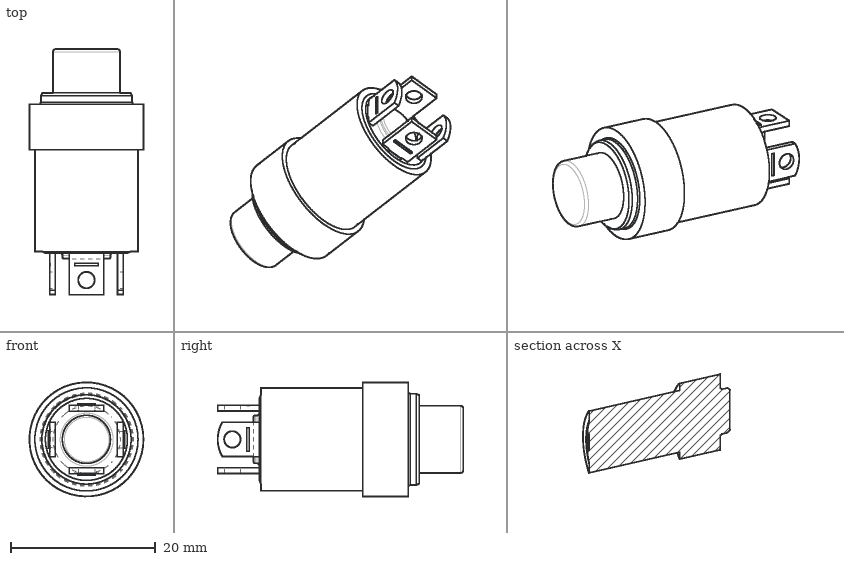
import cadquery as cq
import math


body_radius = 7.15
body_length = 14.08
flange_diameter = 15.8
flange_radius = flange_diameter / 2
flange_length = 6.33
collar_radius = 6.33
collar_length = 1.53
collar_bevel_width = 0.2
collar_bevel_length = 0.4
collar_root_flare = 0.15
collar_root_height = 0.27
button_radius = 4.65
button_length = 6.1
button_round = 0.4

plug_radius = 6.2
plug_height = 0.2
plug_bevel = 0.5

boss_radius = 3.33
boss_height = 0.8
boss_tip_round = 0.25
boss_root_round = 0.35

terminal_width = 4.8
terminal_thickness = 0.8
terminal_length = 5.78
terminal_tip_bulge = 0.65
round_terminal_reach = 5.1
flat_terminal_reach = 4.73
eye_diameter = 2.25
eye_from_plug = 3.75
mark_length = 3.25
mark_width = 0.35
mark_depth = 0.07
mark_from_plug = 1.55

pocket_width = 2.45
pocket_depth = 0.2
round_pocket_gap = 0.17
flat_pocket_gap = 0.25

flange_end = body_length + flange_length
collar_end = flange_end + collar_length
button_end = collar_end + button_length
plug_face = -plug_height
boss_face = plug_face - boss_height
terminal_tip = plug_face - terminal_length

diagonal = math.sqrt(0.5)


def arc_middle(center_x, center_y, radius, side_x, side_y):
    """Middle point of a quarter round; the sides give its quadrant."""
    offset = radius * diagonal
    return (center_x + side_x * offset, center_y + side_y * offset)


def make_turned_body():
    """Body, collar, button, plug and boss as one turned solid."""
    boss_flat = boss_radius - boss_tip_round
    boss_root = boss_radius + boss_root_round
    button_flat = button_radius - button_round
    profile = (
        cq.Workplane("XY")
        .moveTo(0, boss_face)
        .lineTo(boss_flat, boss_face)
        .threePointArc(
            arc_middle(boss_flat, boss_face + boss_tip_round, boss_tip_round, 1, -1),
            (boss_radius, boss_face + boss_tip_round),
        )
        .lineTo(boss_radius, plug_face - boss_root_round)
        .threePointArc(
            arc_middle(boss_root, plug_face - boss_root_round, boss_root_round, -1, 1),
            (boss_root, plug_face),
        )
        .lineTo(plug_radius - plug_bevel, plug_face)
        .lineTo(plug_radius, 0)
        .lineTo(body_radius, 0)
        .lineTo(body_radius, body_length)
        .lineTo(flange_radius, body_length)
        .lineTo(flange_radius, flange_end)
        .lineTo(collar_radius + collar_root_flare, flange_end)
        .lineTo(collar_radius, flange_end + collar_root_height)
        .lineTo(collar_radius, collar_end - collar_bevel_length)
        .lineTo(collar_radius - collar_bevel_width, collar_end)
        .lineTo(button_radius, collar_end)
        .lineTo(button_radius, button_end - button_round)
        .threePointArc(
            arc_middle(button_flat, button_end - button_round, button_round, 1, 1),
            (button_flat, button_end),
        )
        .lineTo(0, button_end)
        .close()
    )
    return profile.revolve(360, (0, 0, 0), (0, 1, 0))


def make_pocket(reach, gap):
    """Pocket for the terminal above the axis, to be cut from the plug."""
    pocket = cq.Workplane("XY").box(pocket_width, pocket_depth, gap, centered=(True, False, False))
    return pocket.translate((0, plug_face, reach))


def make_terminal(reach, tip_bulge):
    """Terminal above the axis, rounded at the tip if it bulges, with its outer face at Z = reach."""
    half_width = terminal_width / 2
    root = plug_face + pocket_depth
    shoulder = terminal_tip + tip_bulge
    outline = (
        cq.Workplane("XY", origin=(0, 0, reach))
        .moveTo(half_width, root)
        .lineTo(-half_width, root)
        .lineTo(-half_width, shoulder)
    )
    if tip_bulge > 0:
        outline = outline.threePointArc((0, terminal_tip), (half_width, shoulder))
    else:
        outline = outline.lineTo(half_width, shoulder)
    eye = (
        cq.Workplane("XY", origin=(0, plug_face - eye_from_plug, reach))
        .circle(eye_diameter / 2)
        .extrude(-terminal_thickness)
    )
    mark = (
        cq.Workplane("XY", origin=(0, plug_face - mark_from_plug, reach))
        .rect(mark_length, mark_width)
        .extrude(-mark_depth)
    )
    return outline.close().extrude(-terminal_thickness).cut(eye).cut(mark)


result = make_turned_body()
for quarter_turn in range(4):
    has_round_tip = quarter_turn % 2 == 1
    reach = round_terminal_reach if has_round_tip else flat_terminal_reach
    gap = round_pocket_gap if has_round_tip else flat_pocket_gap
    tip_bulge = terminal_tip_bulge if has_round_tip else 0
    angle = 90 * quarter_turn
    pocket = make_pocket(reach, gap).rotate((0, 0, 0), (0, 1, 0), angle)
    terminal = make_terminal(reach, tip_bulge).rotate((0, 0, 0), (0, 1, 0), angle)
    result = result.cut(pocket).union(terminal)